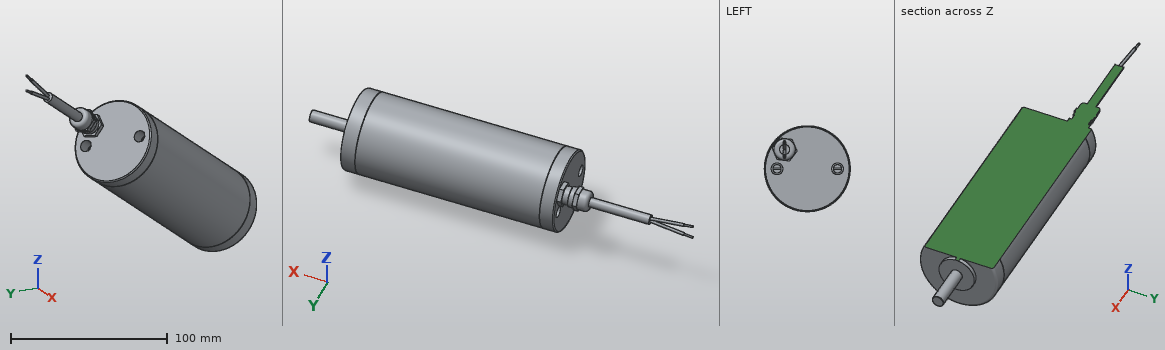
import cadquery as cq
import math

motor_diameter = 55.0
rear_cap_length = 9.7
front_joint_x = 136.5
front_face_x = 147.0
rear_chamfer = 0.8
front_fillet = 1.5
joint_groove_width = 0.3
joint_groove_depth = 0.13

pilot_diameter = 25.0
pilot_length = 2.7
shaft_diameter = 8.0
shaft_end_x = 177.7
shaft_chamfer = 0.3

screw_offset = 19.3
screw_recess_diameter = 7.5
screw_recess_depth = 10.2
screw_head_diameter = 5.5
screw_head_height = 2.1
screw_slot_width = 1.0
screw_slot_depth = 1.0

gland_y = 14.5
gland_z = 12.3
hex_across_flats = 14.0
hex_turn_degrees = -7
base_hex_length = 3.0
neck_diameter = 12.0
cap_diameter = 13.7
cap_start = 7.0
cap_hex_start = 10.5
cap_hex_length = 3.0
cap_end = 20.0
cap_fillet = 2.1

cable_diameter = 6.5
cable_end = 61.5

wire_diameter = 2.0
core_diameter = 1.3
wire_end = 84.5
core_end = 90.7
wire_root_offset = 1.0
wire_tip_offset = 5.0
wire_embed = 1.3


def rod(start_x, end_x, diameter, y=0, z=0):
    """Round rod parallel to X."""
    plane = cq.Plane(origin=(start_x, y, z), xDir=(0, 1, 0), normal=(1, 0, 0))
    return cq.Workplane(plane).circle(diameter / 2).extrude(end_x - start_x)


def gland_rod(start, end, diameter):
    """Round rod on the gland axis, between two distances behind the motor."""
    return rod(-end, -start, diameter, gland_y, gland_z)


def gland_hex(start, length):
    """Hexagon on the gland axis turned slightly from flats at the top and bottom."""
    corner_diameter = hex_across_flats / math.cos(math.pi / 6)
    plane = cq.Plane(origin=(-start, gland_y, gland_z), xDir=(0, 1, 0), normal=(-1, 0, 0))
    hexagon = cq.Workplane(plane).transformed(rotate=(0, 0, hex_turn_degrees)).polygon(6, corner_diameter)
    return hexagon.extrude(length)


def make_motor():
    body = rod(0, front_face_x, motor_diameter)
    body = body.faces("<X").chamfer(rear_chamfer)
    body = body.faces(">X").edges().fillet(front_fillet)
    for joint_x in (rear_cap_length, front_joint_x):
        groove_end_x = joint_x + joint_groove_width
        groove = rod(joint_x, groove_end_x, motor_diameter + 2.7)
        groove = groove.cut(rod(joint_x, groove_end_x, motor_diameter - 2 * joint_groove_depth))
        body = body.cut(groove)
    shaft = rod(front_face_x, shaft_end_x, shaft_diameter).faces(">X").chamfer(shaft_chamfer)
    pilot = rod(front_face_x, front_face_x + pilot_length, pilot_diameter)
    return body.union(pilot).union(shaft)


def add_screw(motor, y):
    recess = rod(0, screw_recess_depth, screw_recess_diameter, y)
    head_top_x = screw_recess_depth - screw_head_height
    head = rod(head_top_x, screw_recess_depth, screw_head_diameter, y)
    slot = cq.Workplane("XY").box(
        screw_slot_depth, screw_head_diameter, screw_slot_width, centered=(False, True, True)
    ).translate((head_top_x, y, 0))
    return motor.cut(recess).union(head.cut(slot))


def make_gland():
    cap = gland_rod(cap_start, cap_end, cap_diameter).faces("<X").edges().fillet(cap_fillet)
    gland = cap.union(gland_rod(0, cap_start, neck_diameter))
    gland = gland.union(gland_hex(0, base_hex_length))
    return gland.union(gland_hex(cap_hex_start, cap_hex_length))


def make_wire(side):
    """Insulated wire with a bare core; side is +1 for the upper wire and -1 for the lower."""
    slope = (wire_tip_offset - wire_root_offset) / (core_end - cable_end)
    angle = math.atan(slope)
    direction = (-math.cos(angle), 0, side * math.sin(angle))
    root_x = wire_embed - cable_end
    root_z = gland_z + side * (wire_root_offset - slope * wire_embed)
    plane = cq.Plane(origin=(root_x, gland_y, root_z), xDir=(0, 1, 0), normal=direction)
    core_reach = core_end + root_x - core_diameter / 2 * math.sin(angle)
    wire_length = (wire_end + root_x) / math.cos(angle)
    core_length = core_reach / math.cos(angle)
    wire = cq.Workplane(plane).circle(wire_diameter / 2).extrude(wire_length)
    core = cq.Workplane(plane).circle(core_diameter / 2).extrude(core_length)
    return wire.union(core)


motor = make_motor()
for screw_y in (-screw_offset, screw_offset):
    motor = add_screw(motor, screw_y)

result = motor.union(make_gland()).union(gland_rod(cap_end, cable_end, cable_diameter))
for wire_side in (-1, 1):
    result = result.union(make_wire(wire_side))